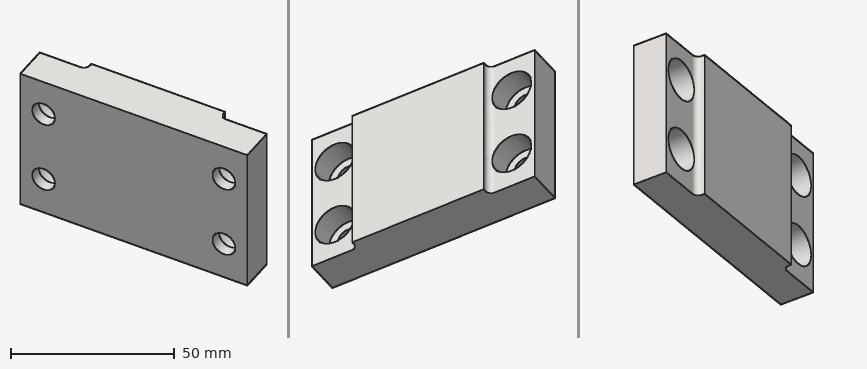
import cadquery as cq

length = 80.0
height = 51.0
total_thickness = 15.0
pad_rise = 3.0
pad_width = 47.2
pad_fillet = 2.0
ledge_y = total_thickness - pad_rise

hole_spacing_x = 63.5
hole_spacing_z = 25.4
hole_pattern_shift_z = 0.2
hole_diameter = 8.0
counterbore_diameter = 14.0
hole_land = 4.0


def block(width, thickness):
    """Full-height block centred in X and Z, with its front face at Y = 0."""
    return cq.Workplane("XY").box(width, thickness, height, centered=(True, False, True))


def bores(diameter, start_y, end_y):
    """Cylinders along Y at all four hole centres."""
    return (
        cq.Workplane("XZ", origin=(0, start_y, 0))
        .center(0, hole_pattern_shift_z)
        .rect(hole_spacing_x, hole_spacing_z, forConstruction=True)
        .vertices()
        .circle(diameter / 2)
        .extrude(start_y - end_y)
    )


body = block(length, ledge_y).union(block(pad_width, total_thickness))

body = body.cut(bores(hole_diameter, 0, total_thickness))
body = body.cut(bores(counterbore_diameter, hole_land, total_thickness))

pad_corners = cq.selectors.BoxSelector(
    (-pad_width / 2 - 0.8, ledge_y - 0.8, -height),
    (pad_width / 2 + 0.8, ledge_y + 0.8, height),
)
result = body.edges("|Z").edges(pad_corners).fillet(pad_fillet)